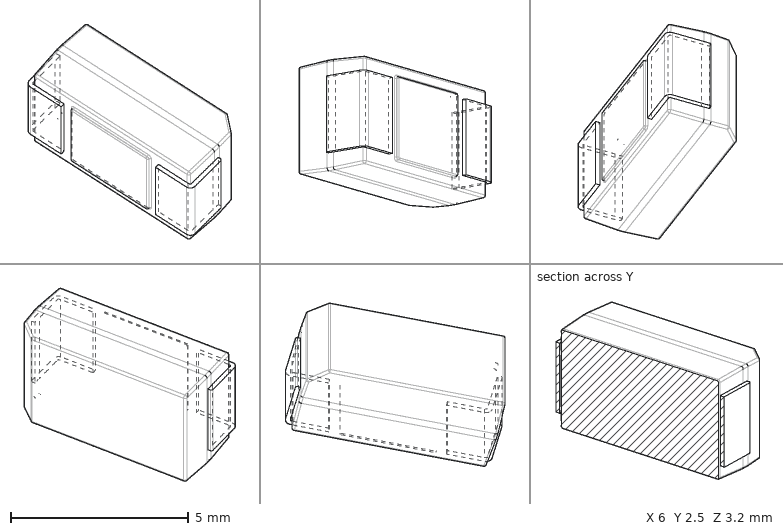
import cadquery as cq
import math

total_length = 6.0
total_depth = 2.5
total_height = 3.2
front = -total_depth / 2
back = total_depth / 2

lead_thickness = 0.14
lead_width = 2.195
lead_rise = 1.385
foot_length = 1.29
bend_radius = 0.175
tip_round = 0.055

body_length = 5.73
body_front = front + 0.13
waist_front = front + 1.21
waist_back = front + 1.435
end_draft = 2.5
side_draft = 2.7
body_round = 0.07

bevel_length = 0.57
bevel_depth = 0.51

pad_length = 2.8
pad_width = 2.4
pad_height = 0.095
pad_corner_radius = 0.065
pad_round = 0.04
pad_foot_round = 0.05

selection_margin = 0.005


def make_drafted_half(waist_y, end_y):
    """Half of the body with sharp edges, narrowing from the waist to its end face."""
    depth = abs(end_y - waist_y)
    end_length = body_length - 2 * depth * math.tan(math.radians(end_draft))
    end_height = total_height - 2 * depth * math.tan(math.radians(side_draft))
    return (
        cq.Workplane("XZ", origin=(0, waist_y, 0))
        .rect(body_length, total_height)
        .workplane(offset=waist_y - end_y)
        .rect(end_length, end_height)
        .loft(ruled=True)
    )


def make_bevel_cutter():
    right = body_length / 2
    return (
        cq.Workplane("XY")
        .moveTo(right, back)
        .lineTo(right - bevel_length, back)
        .lineTo(right, back - bevel_depth)
        .close()
        .extrude(total_height / 2, both=True)
    )


def make_body():
    front_half = make_drafted_half(waist_front, body_front).edges("not >Y").fillet(body_round)
    back_half = (
        make_drafted_half(waist_back, back)
        .cut(make_bevel_cutter())
        .edges("not <Y")
        .fillet(body_round)
    )
    waist = (
        front_half.faces(">Y")
        .wires()
        .toPending()
        .workplane()
        .extrude(waist_back - waist_front, combine=False)
    )
    return front_half.union(waist).union(back_half)


def add_pad(body):
    pad = (
        cq.Workplane("XZ", origin=(0, body_front, 0))
        .rect(pad_length, pad_width)
        .extrude(pad_height)
        .edges("|Y")
        .fillet(pad_corner_radius)
    )
    half_length = pad_length / 2 + selection_margin
    half_width = pad_width / 2 + selection_margin
    foot_edges = cq.selectors.BoxSelector(
        (-half_length, body_front - selection_margin, -half_width),
        (half_length, body_front + selection_margin, half_width),
    )
    padded_body = body.union(pad).edges(foot_edges).fillet(pad_foot_round)
    return padded_body.faces("<Y").edges().fillet(pad_round)


def round_corner(strip, x, y, radius):
    """Round the edge along Z that passes through (x, y)."""
    corner = cq.selectors.NearestToPointSelector((x, y, 0))
    return strip.edges("|Z").edges(corner).fillet(radius)


def make_left_lead():
    outer = -total_length / 2
    inner = outer + lead_thickness
    foot_end = outer + foot_length
    foot_top = front + lead_thickness
    tip = front + lead_rise
    lead = (
        cq.Workplane("XY")
        .moveTo(outer, front)
        .lineTo(foot_end, front)
        .lineTo(foot_end, foot_top)
        .lineTo(inner, foot_top)
        .lineTo(inner, tip)
        .lineTo(outer, tip)
        .close()
        .extrude(lead_width / 2, both=True)
    )
    lead = round_corner(lead, outer, front, bend_radius)
    lead = round_corner(lead, inner, foot_top, bend_radius - lead_thickness)
    return round_corner(lead, outer, tip, tip_round)


left_lead = make_left_lead()
right_lead = left_lead.mirror("YZ")
result = add_pad(make_body()).union(left_lead).union(right_lead)